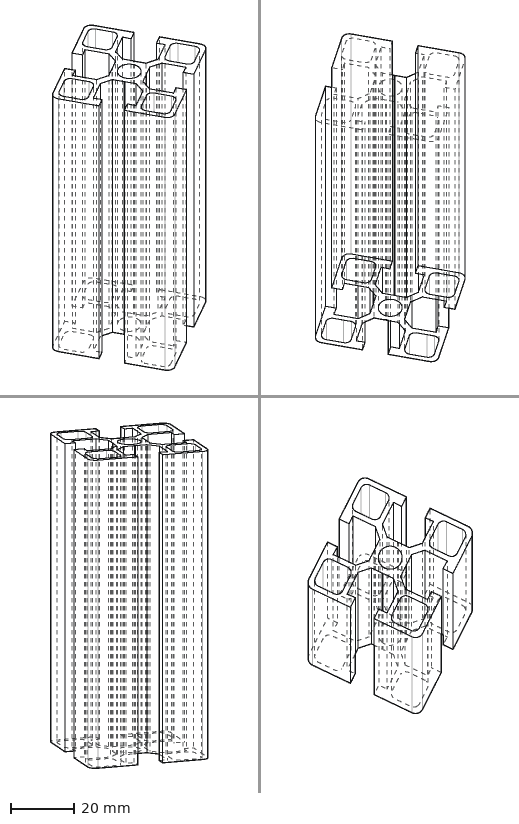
import cadquery as cq

side = 40.0
length = 100.0
outer_radius = 2.5
half_side = side / 2

slot_opening = 8.3
slot_inner_width = 14.0
slot_floor_width = 7.8
lip_tip_thickness = 3.5
lip_root_thickness = 3.4
core_width = 11.2
half_opening = slot_opening / 2
half_inner = slot_inner_width / 2
half_floor = slot_floor_width / 2
half_core = core_width / 2
flank_top = half_core + half_inner - half_floor

groove_width = 0.3
groove_depth = 0.15

wall = 1.7
chamber_radius = 2.0
chamber_size = half_side - half_inner - 2 * wall
chamber_offset = half_inner + wall + chamber_size / 2
bore_diameter = 7.5


def bar():
    return cq.Workplane("XY").rect(side, side).extrude(length).edges("|Z").fillet(outer_radius)


def t_slot():
    """Cutter for the slot on the +Y side."""
    right_half = [
        (groove_width / 2, half_core),
        (half_floor, half_core),
        (half_inner, flank_top),
        (half_inner, half_side - lip_root_thickness),
        (half_opening, half_side - lip_tip_thickness),
        (half_opening, half_side),
    ]
    left_half = [(-x, y) for x, y in reversed(right_half)]
    groove_tip = (0, half_core - groove_depth)
    return cq.Workplane("XY").polyline([groove_tip] + right_half + left_half).close().extrude(length)


def corner_chambers():
    spacing = 2 * chamber_offset
    return (
        cq.Workplane("XY")
        .rarray(spacing, spacing, 2, 2)
        .rect(chamber_size, chamber_size)
        .extrude(length)
        .edges("|Z")
        .fillet(chamber_radius)
    )


def central_bore():
    return cq.Workplane("XY").circle(bore_diameter / 2).extrude(length)


result = bar().cut(corner_chambers()).cut(central_bore())
for angle in (0, 90, 180, 270):
    result = result.cut(t_slot().rotate((0, 0, 0), (0, 0, 1), angle))